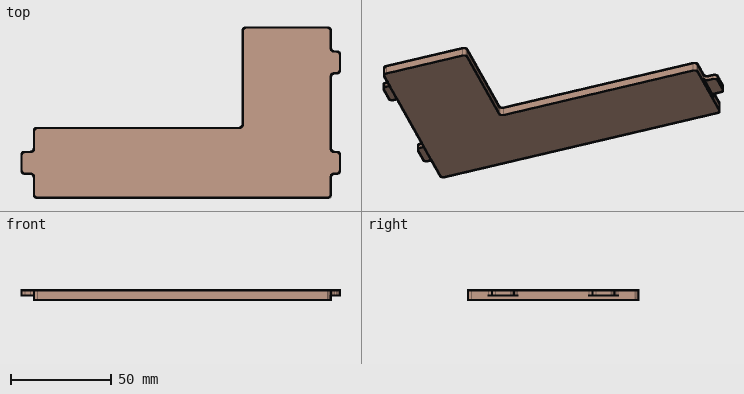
import cadquery as cq

total_length = 159.0
total_depth = 85.0
thickness = 5.0

long_arm_width = 35.0
short_arm_width = 44.0
corner_radius = 1.7

tab_width = 11.0
tab_thickness = 2.7
left_tab_length = 6.2
right_tab_length = 4.6

body_left = left_tab_length
body_right = total_length - right_tab_length
lower_tab_y = long_arm_width / 2
upper_tab_y = total_depth - lower_tab_y


def make_plate():
    """L-shaped plate with every vertical corner rounded."""
    inner_x = body_right - short_arm_width
    outline = [
        (body_left, 0),
        (body_right, 0),
        (body_right, total_depth),
        (inner_x, total_depth),
        (inner_x, long_arm_width),
        (body_left, long_arm_width),
    ]
    plate = cq.Workplane("XY").polyline(outline).close().extrude(thickness)
    return plate.edges("|Z").fillet(corner_radius)


def make_tab(root_x, center_y, length, direction):
    """Tab with rounded tip corners and flared root; direction is +1 for +X, -1 for -X."""
    r = corner_radius
    half = tab_width / 2
    flared_half = half + r
    profile = (
        cq.Workplane("XY")
        .moveTo(0, -flared_half)
        .radiusArc((r, -half), r)
        .lineTo(length - r, -half)
        .radiusArc((length, -half + r), -r)
        .lineTo(length, half - r)
        .radiusArc((length - r, half), -r)
        .lineTo(r, half)
        .radiusArc((0, flared_half), r)
        .close()
    )
    tab = profile.extrude(tab_thickness)
    if direction < 0:
        tab = tab.mirror("YZ")
    return tab.translate((root_x, center_y, thickness - tab_thickness))


result = (
    make_plate()
    .union(make_tab(body_left, lower_tab_y, left_tab_length, -1))
    .union(make_tab(body_right, lower_tab_y, right_tab_length, 1))
    .union(make_tab(body_right, upper_tab_y, right_tab_length, 1))
)